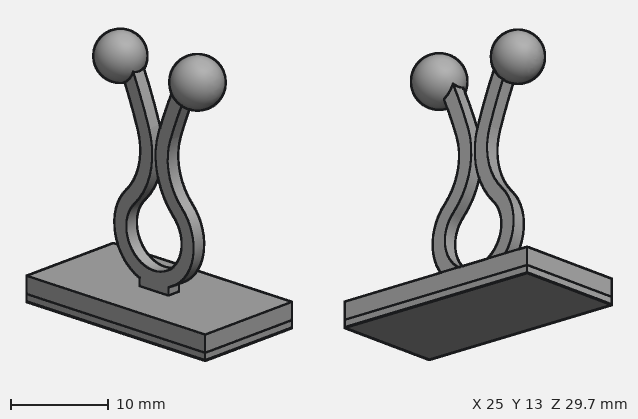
import cadquery as cq
import math

base_length = 25.0
base_width = 13.0
liner_thickness = 0.1
tape_thickness = 0.8
plate_thickness = 2.0
tape_bottom = liner_thickness
plate_bottom = tape_bottom + tape_thickness
plate_top = plate_bottom + plate_thickness

strip_thickness = 1.7
strip_width = 1.6
ring_inner_radius = 3.85
ring_outer_radius = ring_inner_radius + strip_thickness
ring_center_z = 8.95
ring_end_angle = 45.0
neck_z = 17.7
neck_end_angle = 18.5
arm_tip_angle = 25.0
arm_large_radius = 56.43
stem_width = 4.07

neck_center_x = (neck_z - ring_center_z) / math.tan(math.radians(ring_end_angle))
center_distance = math.hypot(neck_center_x, neck_z - ring_center_z)
neck_large_radius = center_distance - ring_inner_radius
neck_small_radius = center_distance - ring_outer_radius
arm_small_radius = arm_large_radius - strip_thickness
arm_middle_angle = (neck_end_angle + arm_tip_angle) / 2

top_z = 29.7
left_ball_radius = 2.8
left_ball_x = -5.44
right_ball_radius = 2.9
right_ball_x = 5.35


def ring_point(radius, angle):
    """Point on a circle about the ring center; angle from +X in degrees."""
    turn = math.radians(angle)
    return radius * math.cos(turn), ring_center_z + radius * math.sin(turn)


def neck_point(radius, angle):
    """Point on a right neck arc; angle above the -X direction in degrees."""
    turn = math.radians(angle)
    return neck_center_x - radius * math.cos(turn), neck_z + radius * math.sin(turn)


def arm_point(radius, angle):
    """Point on a right arm arc, which continues the neck arc tangentially."""
    turn = math.radians(angle)
    join = math.radians(neck_end_angle)
    center_shift = arm_large_radius - neck_large_radius
    center_x = neck_center_x + center_shift * math.cos(join)
    center_z = neck_z - center_shift * math.sin(join)
    return center_x - radius * math.cos(turn), center_z + radius * math.sin(turn)


def strip_edge(ring_radius, neck_radius, arm_radius):
    """Edges along one face of the strip, from the right arm tip round to the left arm tip."""
    right_arcs = [
        (
            arm_point(arm_radius, arm_tip_angle),
            arm_point(arm_radius, arm_middle_angle),
            neck_point(neck_radius, neck_end_angle),
        ),
        (
            neck_point(neck_radius, neck_end_angle),
            neck_point(neck_radius, 0),
            ring_point(ring_radius, ring_end_angle),
        ),
    ]
    ring_arc = (
        ring_point(ring_radius, ring_end_angle),
        ring_point(ring_radius, -90),
        ring_point(ring_radius, 180 - ring_end_angle),
    )
    left_arcs = [tuple((-x, z) for x, z in arc) for arc in right_arcs]
    arcs = right_arcs + [ring_arc] + left_arcs
    return [
        cq.Edge.makeThreePointArc(*(cq.Vector(x, 0, z) for x, z in arc))
        for arc in arcs
    ]


def make_bent_strip():
    """Ring, neck and both arms as one bent strip, centered on the XZ plane."""
    edges = strip_edge(ring_inner_radius, neck_large_radius, arm_large_radius)
    edges += strip_edge(ring_outer_radius, neck_small_radius, arm_small_radius)
    inner_tip_x, inner_tip_z = arm_point(arm_large_radius, arm_tip_angle)
    outer_tip_x, outer_tip_z = arm_point(arm_small_radius, arm_tip_angle)
    for side in (-1, 1):
        inner_tip = cq.Vector(side * inner_tip_x, 0, inner_tip_z)
        outer_tip = cq.Vector(side * outer_tip_x, 0, outer_tip_z)
        edges.append(cq.Edge.makeLine(inner_tip, outer_tip))
    outline = cq.Wire.combine(edges)[0]
    strip = cq.Solid.extrudeLinear(outline, [], cq.Vector(0, strip_width, 0))
    return cq.Workplane(strip).translate((0, -strip_width / 2, 0))


def make_stem():
    """Block joining the ring to the plate, cut away inside the ring."""
    height = ring_center_z - plate_top
    stem = cq.Workplane("XY").workplane(offset=plate_top).rect(stem_width, strip_width).extrude(height)
    ring_bore = (
        cq.Workplane("XZ")
        .center(0, ring_center_z)
        .circle(ring_inner_radius)
        .extrude(strip_width, both=True)
    )
    return stem.cut(ring_bore)


def make_ball(x, radius):
    """Ball on an arm end, with its top at the overall height."""
    return cq.Workplane("XY").sphere(radius).translate((x, 0, top_z - radius))


def make_layer(bottom, thickness):
    """One rectangular layer of the base."""
    return cq.Workplane("XY").workplane(offset=bottom).rect(base_length, base_width).extrude(thickness)


def make_clip():
    """Plate, stem, bent strip and balls as one solid."""
    return (
        make_layer(plate_bottom, plate_thickness)
        .union(make_stem())
        .union(make_bent_strip())
        .union(make_ball(left_ball_x, left_ball_radius))
        .union(make_ball(right_ball_x, right_ball_radius))
        .solids()
    )


clip = make_clip()
tape = make_layer(tape_bottom, tape_thickness)
liner = make_layer(0, liner_thickness)

result = cq.Compound.makeCompound([clip.val(), tape.val(), liner.val()])